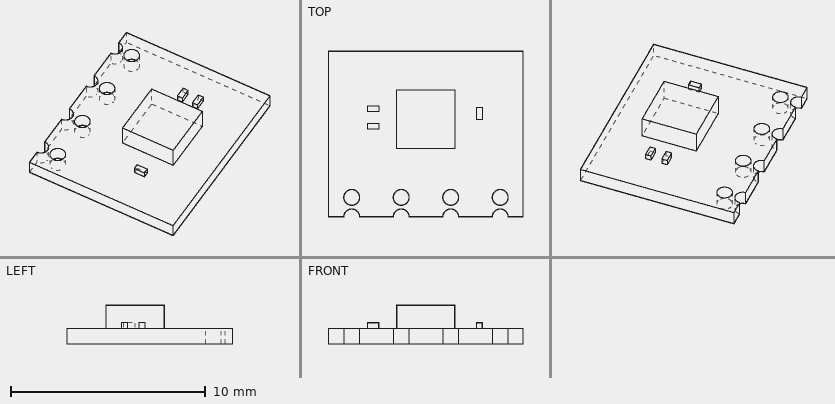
import cadquery as cq

BOARD_LENGTH = 10.0
BOARD_WIDTH = 8.5
BOARD_THICKNESS = 0.8

HOLE_DIAMETER = 0.8
HOLE_COUNT = 4
HOLE_PITCH = 2.54
HOLE_ROW_Y = 1.0
FIRST_HOLE_X = 1.2

TOTAL_HEIGHT = 2.0
SENSOR_SIDE = 3.0
SENSOR_HEIGHT = TOTAL_HEIGHT - BOARD_THICKNESS
SENSOR_X = BOARD_LENGTH / 2
SENSOR_Y = 5.0

CHIP_LENGTH = 0.6
CHIP_WIDTH = 0.3
CHIP_HEIGHT = 0.3
LEFT_CHIP_X = 2.3
LEFT_CHIP_YS = (4.65, 5.55)
RIGHT_CHIP_X = 7.75
RIGHT_CHIP_Y = 5.3


def make_board():
    """Flat board drilled with a hole row and edge half holes."""
    board = cq.Workplane("XY").box(BOARD_LENGTH, BOARD_WIDTH, BOARD_THICKNESS, centered=False)
    centers = []
    for index in range(HOLE_COUNT):
        x = FIRST_HOLE_X + index * HOLE_PITCH
        centers.append((x, HOLE_ROW_Y))
        centers.append((x, 0))
    drills = cq.Workplane("XY").pushPoints(centers).circle(HOLE_DIAMETER / 2).extrude(BOARD_THICKNESS)
    return board.cut(drills)


def make_component(x, y, length, width, height):
    """Rectangular component standing on the board, centred at (x, y)."""
    base = cq.Workplane("XY", origin=(x, y, BOARD_THICKNESS))
    return base.rect(length, width).extrude(height)


result = make_board()
result = result.union(make_component(SENSOR_X, SENSOR_Y, SENSOR_SIDE, SENSOR_SIDE, SENSOR_HEIGHT))
for chip_y in LEFT_CHIP_YS:
    result = result.union(make_component(LEFT_CHIP_X, chip_y, CHIP_LENGTH, CHIP_WIDTH, CHIP_HEIGHT))
result = result.union(make_component(RIGHT_CHIP_X, RIGHT_CHIP_Y, CHIP_WIDTH, CHIP_LENGTH, CHIP_HEIGHT))